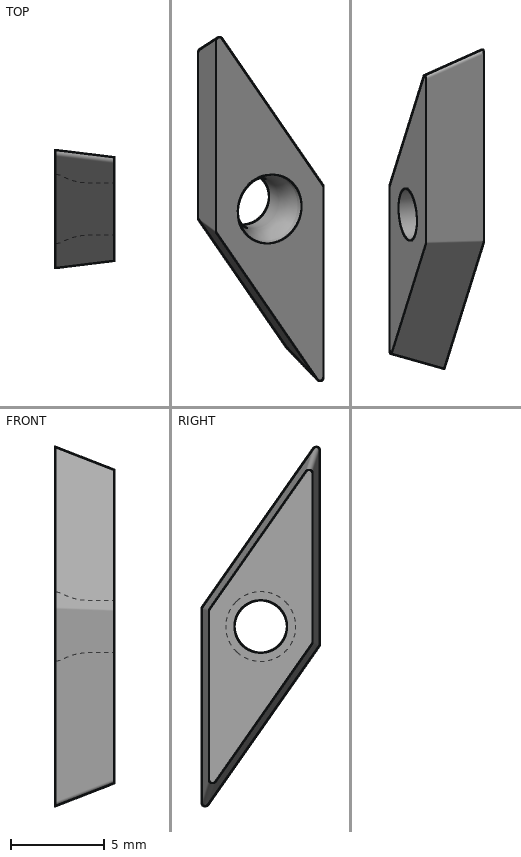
import cadquery as cq
import math

thickness = 3.18
inscribed_diameter = 6.35
acute_angle = math.radians(35)
relief_angle = 7
nose_radius = 0.2

hole_diameter = 2.8
mouth_diameter = 3.75
seat_diameter = 3.6
mouth_cone_depth = 0.32
seat_length = 1.48


def rhombus_corners():
    """Corners (y, z) of the large face, with two sides parallel to Z."""
    half_width = inscribed_diameter / 2
    side = inscribed_diameter / math.sin(acute_angle)
    long_reach = side * (1 + math.cos(acute_angle)) / 2
    short_reach = side - long_reach
    return [
        (half_width, long_reach),
        (half_width, -short_reach),
        (-half_width, -long_reach),
        (-half_width, short_reach),
    ]


def make_body():
    """Rhombic plate narrowing along +X by the relief angle, with rounded corner edges."""
    body = (
        cq.Workplane("YZ")
        .polyline(rhombus_corners())
        .close()
        .extrude(thickness, taper=relief_angle)
    )
    corner_edges = body.edges("not #X")
    return corner_edges.fillet(nose_radius)


def make_screw_hole():
    """Solid filling the through hole, revolved about the X axis."""
    hole_radius = hole_diameter / 2
    mouth_radius = mouth_diameter / 2
    seat_radius = seat_diameter / 2
    seat_end = mouth_cone_depth + seat_length

    seat_drop = seat_radius - hole_radius
    arc_radius = (seat_length**2 + seat_drop**2) / (2 * seat_drop)
    half_sweep = math.asin(seat_length / arc_radius) / 2
    arc_middle = (
        seat_end - arc_radius * math.sin(half_sweep),
        -hole_radius - arc_radius * (1 - math.cos(half_sweep)),
    )
    return (
        cq.Workplane("XZ")
        .moveTo(0, 0)
        .lineTo(0, -mouth_radius)
        .lineTo(mouth_cone_depth, -seat_radius)
        .threePointArc(arc_middle, (seat_end, -hole_radius))
        .lineTo(thickness, -hole_radius)
        .lineTo(thickness, 0)
        .close()
        .revolve(360, (0, 0, 0), (1, 0, 0))
    )


result = make_body().cut(make_screw_hole())